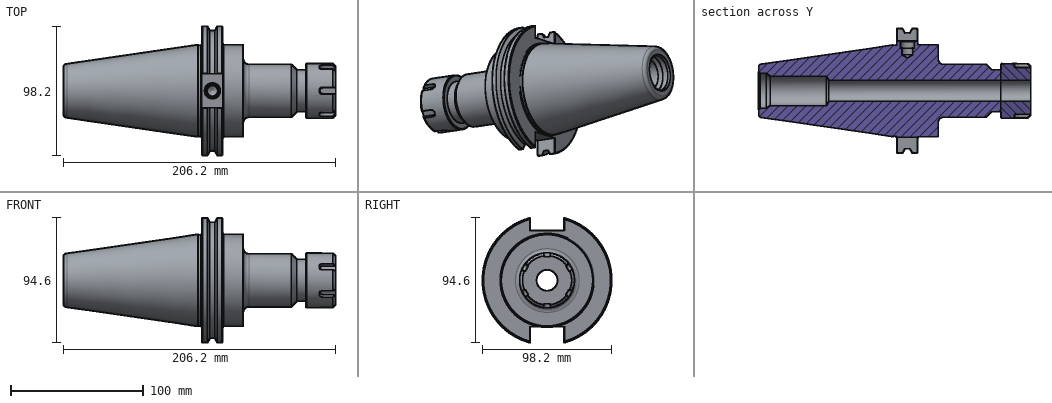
import cadquery as cq
import math

total_length = 206.2

gauge_x = 101.7
gauge_radius = 70.0 / 2
taper_ratio = 7 / 24
small_end_radius = gauge_radius - gauge_x * taper_ratio / 2
small_end_fillet = 2.9

relief_radius = 69.3 / 2
relief_step = 0.6
relief_root_fillet = 0.6

flange_start_x = 104.8
flange_end_x = 120.9
flange_radius = 98.2 / 2
flange_back_chamfer = 0.6
flange_front_chamfer = 1.0
groove_center_x = 112.8
groove_floor_radius = 45.8
groove_floor_width = 3.7
groove_flank_angle = 30
groove_rim_width = groove_floor_width + 2 * (flange_radius - groove_floor_radius) * math.tan(
    math.radians(groove_flank_angle)
)

collar_end_x = 136.3
collar_chamfer = 0.5
collar_root_fillet = 0.6
collar_radius = 70.0 / 2
shank_radius = 40.5 / 2
shank_root_fillet = 4.0
shank_end_x = 172.6
neck_radius = 32.0 / 2
neck_start_x = shank_end_x + shank_radius - neck_radius

drive_slot_width = 25.5
drive_slot_chamfer = 0.5
upper_slot_floor = 37.7
lower_slot_floor = 35.3

hole_mouth_radius = 6.0
hole_mouth_depth = 0.6
hole_thread_radius = 10.1 / 2
hole_thread_depth = 5.4
hole_drill_radius = 8.0 / 2
hole_drill_depth = 10.3
drill_point_angle = 118

through_radius = 15.7 / 2
bore_mouth_radius = 14.0
bore_mouth_depth = 1.6
pilot_radius = 26.5 / 2
pilot_end_x = 6.2
thread_radius = 22.0 / 2
thread_start_x = 9.0
thread_end_x = 51.5

nut_start_x = 183.5
nut_radius = 41.7 / 2
nut_back_chamfer = 0.6
nut_front_chamfer = 2.3
nut_slot_count = 6
nut_slot_floor_width = 4.3
nut_slot_start_x = 194.18
nut_slot_wall_draft = 11
nut_slot_floor = 17.7


def drill_point_length(radius):
    """Axial length of a drill point that narrows by the given radius."""
    return radius / math.tan(math.radians(drill_point_angle / 2))


def revolve_about_x(points):
    """Solid of revolution about X of an outline of (x, radius) points."""
    return cq.Workplane("XY").polyline(points).close().revolve(360, (0, 0, 0), (1, 0, 0))


def holder_blank():
    """Taper, flange, collar, shank and neck as one turned profile without its bore."""
    taper_angle = math.atan(taper_ratio / 2)
    tangent_length = small_end_fillet * math.tan((math.pi / 2 - taper_angle) / 2)
    fillet_center_radius = small_end_radius - tangent_length
    middle_angle = (math.pi / 2 - taper_angle) / 2 + taper_angle
    fillet_middle = (
        small_end_fillet * (1 - math.sin(middle_angle)),
        fillet_center_radius + small_end_fillet * math.cos(middle_angle),
    )
    fillet_end = (
        tangent_length * math.cos(taper_angle),
        small_end_radius + tangent_length * math.sin(taper_angle),
    )
    root_offset = shank_root_fillet * (1 - math.sqrt(0.5))
    root_middle = (collar_end_x + root_offset, shank_radius + root_offset)
    relief_root_offset = relief_root_fillet * (1 - math.sqrt(0.5))
    relief_root_middle = (flange_start_x - relief_root_offset, relief_radius + relief_root_offset)
    collar_root_offset = collar_root_fillet * (1 - math.sqrt(0.5))
    collar_root_middle = (flange_end_x + collar_root_offset, collar_radius + collar_root_offset)
    half_floor = groove_floor_width / 2
    half_rim = groove_rim_width / 2
    profile = (
        cq.Workplane("XY")
        .moveTo(0, 0)
        .lineTo(0, fillet_center_radius)
        .threePointArc(fillet_middle, fillet_end)
        .lineTo(gauge_x, gauge_radius)
        .lineTo(gauge_x + relief_step, relief_radius)
        .lineTo(flange_start_x - relief_root_fillet, relief_radius)
        .threePointArc(relief_root_middle, (flange_start_x, relief_radius + relief_root_fillet))
        .lineTo(flange_start_x, flange_radius - flange_back_chamfer)
        .lineTo(flange_start_x + flange_back_chamfer, flange_radius)
        .lineTo(groove_center_x - half_rim, flange_radius)
        .lineTo(groove_center_x - half_floor, groove_floor_radius)
        .lineTo(groove_center_x + half_floor, groove_floor_radius)
        .lineTo(groove_center_x + half_rim, flange_radius)
        .lineTo(flange_end_x - flange_front_chamfer, flange_radius)
        .lineTo(flange_end_x, flange_radius - flange_front_chamfer)
        .lineTo(flange_end_x, collar_radius + collar_root_fillet)
        .threePointArc(collar_root_middle, (flange_end_x + collar_root_fillet, collar_radius))
        .lineTo(collar_end_x - collar_chamfer, collar_radius)
        .lineTo(collar_end_x, collar_radius - collar_chamfer)
        .lineTo(collar_end_x, shank_radius + shank_root_fillet)
        .threePointArc(root_middle, (collar_end_x + shank_root_fillet, shank_radius))
        .lineTo(shank_end_x, shank_radius)
        .lineTo(neck_start_x, neck_radius)
        .lineTo(nut_start_x, neck_radius)
        .lineTo(nut_start_x, 0)
        .close()
    )
    return profile.revolve(360, (0, 0, 0), (1, 0, 0))


def drive_slot(floor_distance, side):
    """Cutter for one drive slot with chamfered wall edges; side is +1 for +Z and -1 for -Z."""
    half_width = drive_slot_width / 2
    wide_half_width = half_width + drive_slot_chamfer
    half_outline = [
        (flange_start_x, wide_half_width),
        (flange_start_x + drive_slot_chamfer, half_width),
        (flange_end_x - drive_slot_chamfer, half_width),
        (flange_end_x, wide_half_width),
    ]
    mirrored_outline = [(x, -y) for x, y in reversed(half_outline)]
    slot = (
        cq.Workplane("XY", origin=(0, 0, side * floor_distance))
        .polyline(half_outline + mirrored_outline)
        .close()
        .extrude(side * (flange_radius - floor_distance))
    )
    flare_start = math.sqrt(flange_radius**2 - half_width**2) - drive_slot_chamfer
    flare_height = flange_radius - flare_start
    rim_flare = (
        cq.Workplane("YZ", origin=(flange_start_x, 0, 0))
        .polyline(
            [
                (-half_width, side * flare_start),
                (half_width, side * flare_start),
                (half_width + flare_height, side * flange_radius),
                (-half_width - flare_height, side * flange_radius),
            ]
        )
        .close()
        .extrude(flange_end_x - flange_start_x)
    )
    return slot.union(rim_flare)


def slot_hole():
    """Countersunk, stepped blind hole that goes down from the floor of the upper drive slot."""
    tip_depth = hole_drill_depth + drill_point_length(hole_drill_radius)
    outline = [
        (0, 0),
        (hole_mouth_radius, 0),
        (hole_thread_radius, -hole_mouth_depth),
        (hole_thread_radius, -hole_thread_depth),
        (hole_drill_radius, -hole_thread_depth),
        (hole_drill_radius, -hole_drill_depth),
        (0, -tip_depth),
    ]
    hole = cq.Workplane("XZ").polyline(outline).close().revolve(360, (0, 0, 0), (0, 1, 0))
    return hole.translate((groove_center_x, 0, upper_slot_floor))


def holder_bore():
    """Mouth cone, pilot, thread bore and through hole of the holder."""
    return revolve_about_x(
        [
            (0, 0),
            (0, bore_mouth_radius),
            (bore_mouth_depth, pilot_radius),
            (pilot_end_x, pilot_radius),
            (thread_start_x, thread_radius),
            (thread_end_x, thread_radius),
            (thread_end_x + drill_point_length(thread_radius - through_radius), through_radius),
            (nut_start_x, through_radius),
            (nut_start_x, 0),
        ]
    )


def make_holder():
    holder = holder_blank().cut(holder_bore())
    holder = holder.cut(drive_slot(upper_slot_floor, 1))
    holder = holder.cut(drive_slot(lower_slot_floor, -1))
    return holder.cut(slot_hole())


def nut_slot(angle):
    """Cutter for one round-ended wrench slot, open at the front of the nut."""
    half_width = nut_slot_floor_width / 2
    open_end_x = total_length + nut_slot_floor_width
    round_center_x = nut_slot_start_x + half_width
    cutter = (
        cq.Workplane("XY", origin=(0, 0, nut_slot_floor))
        .moveTo(open_end_x, -half_width)
        .lineTo(round_center_x, -half_width)
        .threePointArc((nut_slot_start_x, 0), (round_center_x, half_width))
        .lineTo(open_end_x, half_width)
        .close()
        .extrude(nut_radius - nut_slot_floor, taper=-nut_slot_wall_draft)
    )
    return cutter.rotate((0, 0, 0), (1, 0, 0), angle)


def make_nut():
    nut = revolve_about_x(
        [
            (nut_start_x, through_radius),
            (nut_start_x, nut_radius - nut_back_chamfer),
            (nut_start_x + nut_back_chamfer, nut_radius),
            (total_length - nut_front_chamfer, nut_radius),
            (total_length, nut_radius - nut_front_chamfer),
            (total_length, through_radius),
        ]
    )
    for index in range(nut_slot_count):
        nut = nut.cut(nut_slot(index * 360 / nut_slot_count))
    return nut


holder = make_holder()
nut = make_nut()
result = cq.Compound.makeCompound([holder.val(), nut.val()])